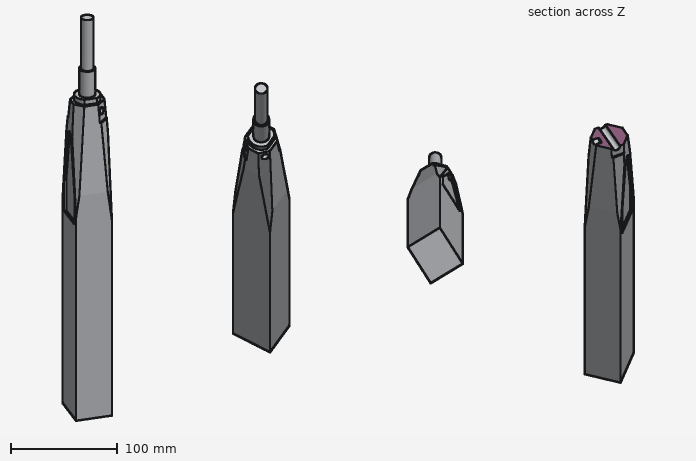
import cadquery as cq
import math

WIDTH_X = 40.5
WIDTH_Y = 35.5
TOTAL_HEIGHT = 407.0
HOUSING_TOP = 322.0

HEAD_WIDTH_X = 28.0
HEAD_WIDTH_Y = 31.0
SIDE_TAPER_START = 233.0
FRONT_TAPER_START = 289.8

CORNER_SUM_TOP = 21.5
FRONT_CORNER_START = 211.5
BACK_CORNER_START = 202.0
CORNER_SUM_BOTTOM = (WIDTH_X + WIDTH_Y) / 2

PAD_BOTTOM = 303.2
PAD_SUM_DEPTH = 1.42
HOLE_DIAMETER = 7.0
HOLE_HEIGHT = 313.5
BLIND_HOLE_HEIGHT = 315.0
BLIND_HOLE_FLOOR = 9.8

PANEL_BOTTOM = 202.0
PANEL_SHOULDER = 233.0
PANEL_TOP = 289.0
PANEL_WIDTH = 30.0
PANEL_TOP_WIDTH = 8.5
PANEL_DEPTH = 2.0

SLOT_WIDTH = 4.0
SLOT_HEIGHT = 7.0
SLOT_CENTRE = 287.7
SLOT_DEPTH = 3.5

COLLAR_DIAMETER = 25.0
COLLAR_FLATS = 21.5
COLLAR_TOP = 327.2
SLEEVE_DIAMETER = 15.0
SLEEVE_TOP = 354.0
CABLE_DIAMETER = 12.0

FRONT_LEFT = 225
BACK_RIGHT = 45
BACK_LEFT = 135
FRONT_RIGHT = 315
CORNER_STARTS = {
    BACK_RIGHT: BACK_CORNER_START,
    BACK_LEFT: BACK_CORNER_START,
    FRONT_LEFT: FRONT_CORNER_START,
    FRONT_RIGHT: FRONT_CORNER_START,
}
CUT_REACH = 81.5


def tapered_profile(plane, width, head_width, taper_start, depth):
    """Prism whose outline narrows evenly from taper_start to the housing top."""
    return (
        cq.Workplane(plane)
        .polyline([
            (-width / 2, 0),
            (width / 2, 0),
            (width / 2, taper_start),
            (head_width / 2, HOUSING_TOP),
            (-head_width / 2, HOUSING_TOP),
            (-width / 2, taper_start),
        ])
        .close()
        .extrude(depth / 2, both=True)
    )


def corner_cutter(angle, bottom, sum_depth):
    """Wedge outside one sloping corner face, moved inwards by sum_depth."""
    slope = (CORNER_SUM_BOTTOM - CORNER_SUM_TOP) / (HOUSING_TOP - CORNER_STARTS[angle])

    def radius(z):
        corner_sum = CORNER_SUM_TOP - sum_depth + slope * (HOUSING_TOP - z)
        return corner_sum / math.sqrt(2)

    return (
        cq.Workplane("XZ")
        .polyline([
            (radius(bottom), bottom),
            (CUT_REACH, bottom),
            (CUT_REACH, HOUSING_TOP),
            (radius(HOUSING_TOP), HOUSING_TOP),
        ])
        .close()
        .extrude(CUT_REACH, both=True)
        .rotate((0, 0, 0), (0, 0, 1), angle)
    )


def corner_hole(angle, height, start):
    """Horizontal drill running outwards through a corner from radius start."""
    return (
        cq.Workplane("YZ", origin=(start, 0, 0))
        .center(0, height)
        .circle(HOLE_DIAMETER / 2)
        .extrude(CUT_REACH - start)
        .rotate((0, 0, 0), (0, 0, 1), angle)
    )


def panel_recess():
    return (
        cq.Workplane("XZ", origin=(0, PANEL_DEPTH - WIDTH_Y / 2, 0))
        .polyline([
            (-PANEL_WIDTH / 2, PANEL_BOTTOM),
            (PANEL_WIDTH / 2, PANEL_BOTTOM),
            (PANEL_WIDTH / 2, PANEL_SHOULDER),
            (PANEL_TOP_WIDTH / 2, PANEL_TOP),
            (-PANEL_TOP_WIDTH / 2, PANEL_TOP),
            (-PANEL_WIDTH / 2, PANEL_SHOULDER),
        ])
        .close()
        .extrude(PANEL_DEPTH)
    )


def panel_slot():
    return (
        cq.Workplane("XZ", origin=(0, SLOT_DEPTH - WIDTH_Y / 2, 0))
        .center(0, SLOT_CENTRE)
        .slot2D(SLOT_HEIGHT, SLOT_WIDTH, 90)
        .extrude(SLOT_DEPTH)
    )


def make_housing():
    side_taper = tapered_profile("XZ", WIDTH_X, HEAD_WIDTH_X, SIDE_TAPER_START, WIDTH_Y)
    front_taper = tapered_profile("YZ", WIDTH_Y, HEAD_WIDTH_Y, FRONT_TAPER_START, WIDTH_X)
    housing = side_taper.intersect(front_taper)
    for angle, start in CORNER_STARTS.items():
        housing = housing.cut(corner_cutter(angle, start, 0))
    for angle in (FRONT_LEFT, BACK_RIGHT):
        housing = housing.cut(corner_cutter(angle, PAD_BOTTOM, PAD_SUM_DEPTH))
    housing = housing.cut(corner_hole(FRONT_LEFT, HOLE_HEIGHT, -CUT_REACH))
    housing = housing.cut(corner_hole(BACK_LEFT, BLIND_HOLE_HEIGHT, BLIND_HOLE_FLOOR))
    return housing.cut(panel_recess()).cut(panel_slot())


def round_stage(diameter, bottom, top):
    return cq.Workplane("XY", origin=(0, 0, bottom)).circle(diameter / 2).extrude(top - bottom)


def make_cable_fitting():
    collar_height = COLLAR_TOP - HOUSING_TOP
    flats = (
        cq.Workplane("XY", origin=(0, 0, HOUSING_TOP))
        .rect(COLLAR_FLATS, COLLAR_DIAMETER)
        .extrude(collar_height)
    )
    collar = round_stage(COLLAR_DIAMETER, HOUSING_TOP, COLLAR_TOP).intersect(flats)
    sleeve = round_stage(SLEEVE_DIAMETER, COLLAR_TOP, SLEEVE_TOP)
    cable = round_stage(CABLE_DIAMETER, SLEEVE_TOP, TOTAL_HEIGHT)
    return collar.union(sleeve).union(cable)


housing = make_housing()
cable_fitting = make_cable_fitting()
result = cq.Compound.makeCompound([housing.val(), cable_fitting.val()])